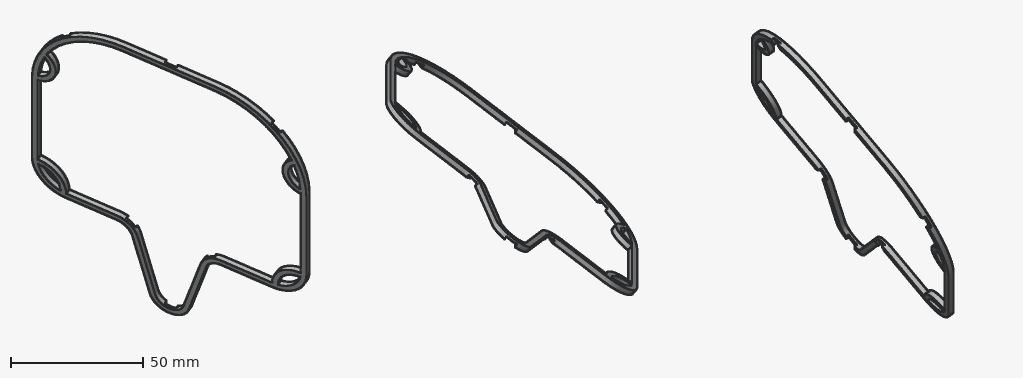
import cadquery as cq
import math

WIDTH = 120.0
BODY_HEIGHT = 100.0
TOTAL_HEIGHT = 140.0
THICKNESS = 2.5
BAND = 2.5

TOP_RADIUS = 40.0
BOTTOM_RADIUS = 15.0
TIP_RADIUS = 8.85
NECK_RADIUS = 7.0
LEG_ANGLE = math.radians(15.0)

UPPER_RIB_RADIUS = 9.25
UPPER_RIB_X = 58.8
UPPER_RIB_Z = -30.75
LOWER_RIB_RADIUS = 12.5

NOTCH_WIDTH = 5.0
NOTCH_DEPTH = 1.25
NOTCH_LENGTH = 10.0
TOP_NOTCH_ANGLE = 49.0

HALF_WIDTH = WIDTH / 2
TOP_CENTER_X = HALF_WIDTH - TOP_RADIUS
BOTTOM_CENTER_X = HALF_WIDTH - BOTTOM_RADIUS
BOTTOM_CENTER_Z = -BODY_HEIGHT + BOTTOM_RADIUS
TIP_CENTER_Z = -TOTAL_HEIGHT + TIP_RADIUS
NECK_CENTER_Z = -BODY_HEIGHT - NECK_RADIUS
NECK_CENTER_X = (
    (TIP_RADIUS + NECK_RADIUS) + (NECK_CENTER_Z - TIP_CENTER_Z) * math.sin(LEG_ANGLE)
) / math.cos(LEG_ANGLE)
NECK_MID_ANGLE = (math.pi / 2 + math.pi - LEG_ANGLE) / 2
LOWER_RIB_X = HALF_WIDTH - BAND
LOWER_RIB_Z = -BODY_HEIGHT + BAND


def polar(center_x, center_z, radius, angle):
    """Point on a circle, with the angle in radians from +X towards +Z."""
    return center_x + radius * math.cos(angle), center_z + radius * math.sin(angle)


def mirrored(point):
    return -point[0], point[1]


def plate(inset):
    """Solid plate bounded by the outer outline moved inwards by `inset`."""
    top_radius = TOP_RADIUS - inset
    bottom_radius = BOTTOM_RADIUS - inset
    tip_radius = TIP_RADIUS - inset
    neck_radius = NECK_RADIUS + inset
    side_x = HALF_WIDTH - inset
    bottom_z = -BODY_HEIGHT + inset

    top_end = (TOP_CENTER_X, -inset)
    top_mid = polar(TOP_CENTER_X, -TOP_RADIUS, top_radius, math.pi / 4)
    side_top = (side_x, -TOP_RADIUS)
    side_bottom = (side_x, BOTTOM_CENTER_Z)
    corner_mid = polar(BOTTOM_CENTER_X, BOTTOM_CENTER_Z, bottom_radius, -math.pi / 4)
    bottom_start = (BOTTOM_CENTER_X, bottom_z)
    neck_start = (NECK_CENTER_X, bottom_z)
    neck_mid = polar(NECK_CENTER_X, NECK_CENTER_Z, neck_radius, NECK_MID_ANGLE)
    neck_end = polar(NECK_CENTER_X, NECK_CENTER_Z, neck_radius, math.pi - LEG_ANGLE)
    tip_start = polar(0, TIP_CENTER_Z, tip_radius, -LEG_ANGLE)
    tip_mid = (0, TIP_CENTER_Z - tip_radius)

    return (
        cq.Workplane("XZ")
        .moveTo(*mirrored(top_end))
        .lineTo(*top_end)
        .threePointArc(top_mid, side_top)
        .lineTo(*side_bottom)
        .threePointArc(corner_mid, bottom_start)
        .lineTo(*neck_start)
        .threePointArc(neck_mid, neck_end)
        .lineTo(*tip_start)
        .threePointArc(tip_mid, mirrored(tip_start))
        .lineTo(*mirrored(neck_end))
        .threePointArc(mirrored(neck_mid), mirrored(neck_start))
        .lineTo(*mirrored(bottom_start))
        .threePointArc(mirrored(corner_mid), mirrored(side_bottom))
        .lineTo(*mirrored(side_top))
        .threePointArc(mirrored(top_mid), mirrored(top_end))
        .close()
        .extrude(-THICKNESS)
    )


def rib(center_x, center_z, radius, outline):
    """Ring of the band width, kept only where it lies inside the outline."""
    ring = (
        cq.Workplane("XZ")
        .center(center_x, center_z)
        .circle(radius)
        .circle(radius - BAND)
        .extrude(-THICKNESS)
    )
    return ring.intersect(outline)


def notch(x, z, angle):
    """Cutter for a notch crossing the band at (x, z) along a direction in degrees."""
    return (
        cq.Workplane("XY")
        .box(NOTCH_LENGTH, NOTCH_DEPTH, NOTCH_WIDTH)
        .rotate((0, 0, 0), (0, 1, 0), -angle)
        .translate((x, THICKNESS - NOTCH_DEPTH / 2, z))
    )


def centred_notches():
    """Notch cutters for the middle of the top edge and for the tip of the tongue."""
    top = notch(0, -BAND / 2, 90)
    tip = notch(0, -TOTAL_HEIGHT + BAND / 2, 90)
    return top.union(tip)


def side_notches(side):
    """Notch cutters for the top corner and the neck on one side (-1 left, 1 right)."""
    corner_x, corner_z = polar(
        TOP_CENTER_X, -TOP_RADIUS, TOP_RADIUS - BAND / 2, math.radians(TOP_NOTCH_ANGLE)
    )
    neck_x, neck_z = polar(
        NECK_CENTER_X, NECK_CENTER_Z, NECK_RADIUS + BAND / 2, NECK_MID_ANGLE
    )
    corner = notch(side * corner_x, corner_z, side * TOP_NOTCH_ANGLE)
    neck = notch(side * neck_x, neck_z, side * math.degrees(NECK_MID_ANGLE))
    return corner.union(neck)


outline = plate(0)
result = outline.cut(plate(BAND))

for side in (-1, 1):
    result = result.union(rib(side * UPPER_RIB_X, UPPER_RIB_Z, UPPER_RIB_RADIUS, outline))
    result = result.union(rib(side * LOWER_RIB_X, LOWER_RIB_Z, LOWER_RIB_RADIUS, outline))
    result = result.cut(side_notches(side))

result = result.cut(centred_notches())